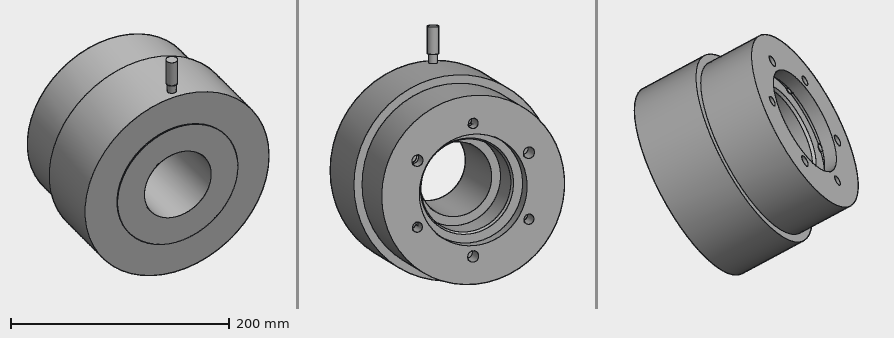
import cadquery as cq
import math

total_height = 227.3
total_length = 125.3

flange_diameter = 193.0
hub_diameter = 177.3
hub_length = 56.0
lip_diameter = 126.2
lip_length = 1.4

recess_diameter = 104.5
recess_depth = 17.7
groove_diameter = 118.2
groove_width = 4.8
seat_diameter = 87.0
seat_depth = 50.0
seat_chamfer_height = 1.5
seat_chamfer_length = 3.0
bore_diameter = 70.0

hole_circle_diameter = 124.8
hole_count = 6
large_hole_diameter = 10.7
small_hole_diameter = 9.5
hole_depth = 18.2

pin_x = 114.0
pin_neck_diameter = 8.5
pin_head_diameter = 10.7
pin_head_length = 25.7
pin_embed = 4.5


def x_cylinder(diameter, start, length, y=0.0, z=0.0):
    """Cylinder along +X, beginning at x = start."""
    return cq.Workplane("YZ", origin=(start, y, z)).circle(diameter / 2).extrude(length)


def make_body():
    flange_end = total_length - lip_length
    hub = x_cylinder(hub_diameter, 0, hub_length)
    flange = x_cylinder(flange_diameter, hub_length, flange_end - hub_length)
    lip = x_cylinder(lip_diameter, flange_end, lip_length)
    return hub.union(flange).union(lip)


def make_pin():
    top = total_height - flange_diameter / 2
    head_bottom = top - pin_head_length
    neck_bottom = flange_diameter / 2 - pin_embed
    neck = (
        cq.Workplane("XY", origin=(pin_x, 0, neck_bottom))
        .circle(pin_neck_diameter / 2)
        .extrude(head_bottom - neck_bottom)
    )
    head = (
        cq.Workplane("XY", origin=(pin_x, 0, head_bottom))
        .circle(pin_head_diameter / 2)
        .extrude(pin_head_length)
    )
    return neck.union(head)


def make_bore():
    """Revolved cutter for the recess and its groove, the chamfered seat and the through bore."""
    seat_radius = seat_diameter / 2
    profile = [
        (0, 0),
        (0, recess_diameter / 2),
        (recess_depth - groove_width, recess_diameter / 2),
        (recess_depth - groove_width, groove_diameter / 2),
        (recess_depth, groove_diameter / 2),
        (recess_depth, seat_radius + seat_chamfer_height),
        (recess_depth + seat_chamfer_length, seat_radius),
        (seat_depth, seat_radius),
        (seat_depth, bore_diameter / 2),
        (total_length, bore_diameter / 2),
        (total_length, 0),
    ]
    return cq.Workplane("XY").polyline(profile).close().revolve(360, (0, 0), (1, 0))


def cut_face_holes(body):
    """Holes start at the top with a small one, then alternate in size."""
    radius = hole_circle_diameter / 2
    for index in range(hole_count):
        angle = 2 * math.pi * index / hole_count
        diameter = small_hole_diameter if index % 2 == 0 else large_hole_diameter
        y = radius * math.sin(angle)
        z = radius * math.cos(angle)
        body = body.cut(x_cylinder(diameter, 0, hole_depth, y, z))
    return body


result = cut_face_holes(make_body().cut(make_bore())).union(make_pin())